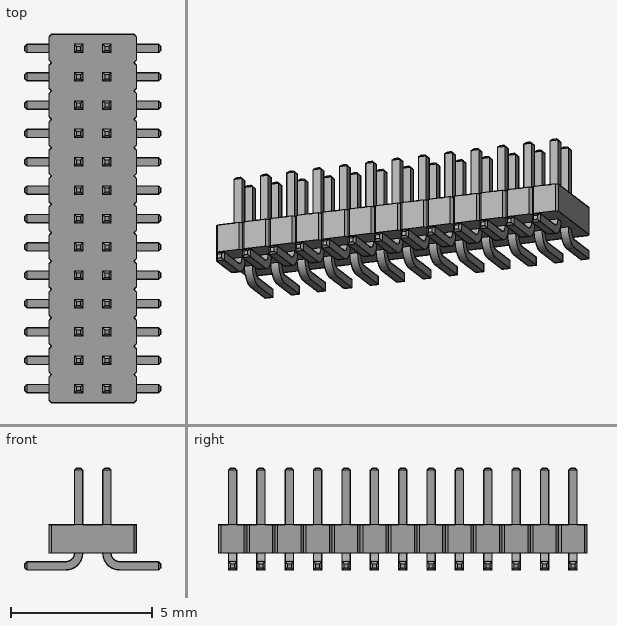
import cadquery as cq

position_count = 13
body_length = 13.0
pitch = body_length / position_count
body_width = 3.1
body_height = pitch
corner_chamfer = 0.09

pin_size = 0.3
row_spacing = pitch
pin_rise = 2 * pitch
lead_span = 4.8
standoff = 0.6
bend_inner_radius = standoff - pin_size
bend_outer_radius = bend_inner_radius + pin_size
tip_inset = 0.08
tip_length = 0.08

body_bottom = standoff
body_top = body_bottom + body_height
pin_top = body_top + pin_rise

pin_center = row_spacing / 2
pin_inside = pin_center - pin_size / 2
pin_outside = pin_center + pin_size / 2
bend_center = pin_outside + bend_inner_radius
lead_end = lead_span / 2


def make_body():
    """Row of chamfered blocks; neighbouring chamfers form the V notches."""
    body = cq.Workplane("XY")
    for y in position_centers:
        block = (
            cq.Workplane("XY", origin=(0, y, body_bottom))
            .rect(body_width, pitch)
            .extrude(body_height)
            .edges("|Z")
            .chamfer(corner_chamfer)
        )
        body = body.union(block)
    return body


def make_tip(plane):
    """Blunt pyramid that ends a pin, growing along the normal of the plane."""
    blunt_size = pin_size - 2 * tip_inset
    return (
        cq.Workplane(plane)
        .rect(pin_size, pin_size)
        .workplane(offset=tip_length)
        .rect(blunt_size, blunt_size)
        .loft(ruled=True)
    )


def make_pin():
    """Square pin on the +X side: upright post, bend and flat lead."""
    post_end = pin_top - tip_length
    foot_end = lead_end - tip_length
    arc_factor = 0.5 ** 0.5
    inner_mid = (
        bend_center - bend_inner_radius * arc_factor,
        bend_outer_radius - bend_inner_radius * arc_factor,
    )
    outer_mid = (
        bend_center - bend_outer_radius * arc_factor,
        bend_outer_radius - bend_outer_radius * arc_factor,
    )
    bent_bar = (
        cq.Workplane("XZ")
        .moveTo(pin_inside, post_end)
        .lineTo(pin_inside, bend_outer_radius)
        .threePointArc(outer_mid, (bend_center, 0))
        .lineTo(foot_end, 0)
        .lineTo(foot_end, pin_size)
        .lineTo(bend_center, pin_size)
        .threePointArc(inner_mid, (pin_outside, bend_outer_radius))
        .lineTo(pin_outside, post_end)
        .close()
        .extrude(pin_size / 2, both=True)
    )
    post_tip = make_tip(cq.Plane((pin_center, 0, post_end), (1, 0, 0), (0, 0, 1)))
    foot_tip = make_tip(cq.Plane((foot_end, 0, pin_size / 2), (0, 1, 0), (1, 0, 0)))
    return bent_bar.union(post_tip).union(foot_tip)


position_centers = [(i - (position_count - 1) / 2) * pitch for i in range(position_count)]

right_pin = make_pin()
left_pin = right_pin.mirror("YZ")

result = make_body()
for y in position_centers:
    result = result.union(right_pin.translate((0, y, 0)))
    result = result.union(left_pin.translate((0, y, 0)))
result = result.clean()